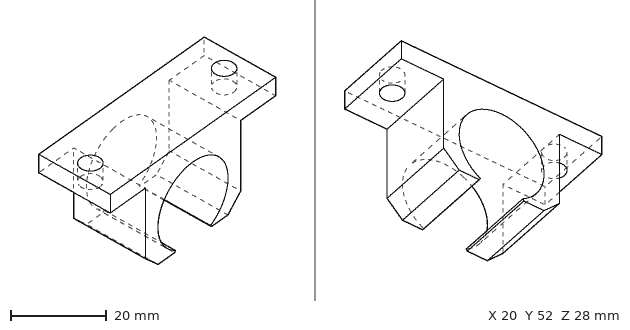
import cadquery as cq
import math

length = 52.0
width = 20.0
height = 28.0
plate_thickness = 5.0
screw_diameter = 5.3
screw_spacing = 42.0

body_length = 30.0
corner_chamfer = 4.0
bore_diameter = 22.0
bore_depth = 18.0
mouth_gap = 11.0
lip_flare = 0.25

bore_radius = bore_diameter / 2
half_gap = mouth_gap / 2
bore_z = height - bore_depth
lip_z = bore_z - math.sqrt(bore_radius**2 - half_gap**2)

plate = cq.Workplane("XY").box(width, length, plate_thickness, centered=(True, True, False))
plate = plate.translate((0, 0, height - plate_thickness))

body = cq.Workplane("XY").box(width, body_length, height, centered=(True, True, False))
body = body.edges("|X and <Z").chamfer(corner_chamfer)

side_plane = cq.Workplane("YZ", origin=(-width / 2, 0, 0))
clip_opening = (
    side_plane
    .moveTo(-half_gap, lip_z)
    .threePointArc((0, bore_z + bore_radius), (half_gap, lip_z))
    .lineTo(half_gap + lip_flare, 0)
    .lineTo(-half_gap - lip_flare, 0)
    .close()
    .extrude(width)
)

result = (
    plate.union(body)
    .cut(clip_opening)
    .faces(">Z").workplane(origin=(0, 0, height))
    .pushPoints([(0, -screw_spacing / 2), (0, screw_spacing / 2)])
    .hole(screw_diameter, plate_thickness)
)